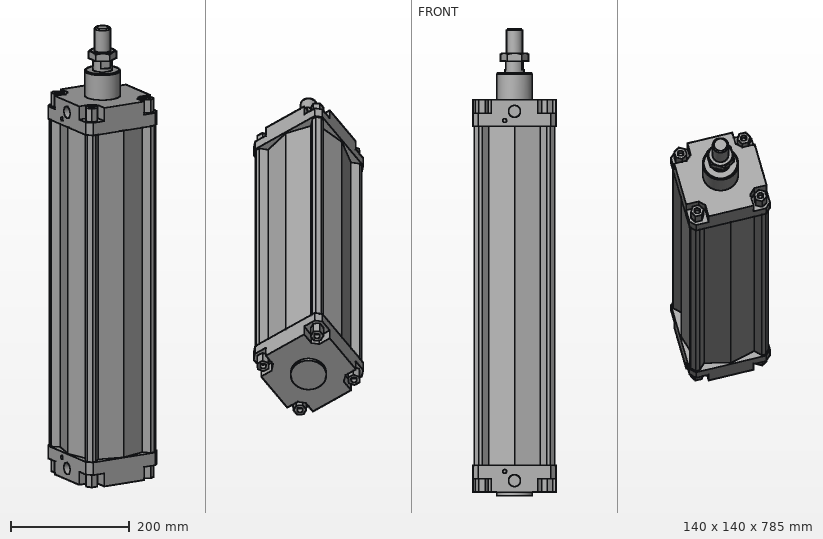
import cadquery as cq
import math

HEAD_SIDE = 140.0
HEAD_HEIGHT = 45.0
HEAD_CORNER_CHAMFER = 9.0
HEAD_SPAN = 660.0

POCKET_SIDE = 31.0
POCKET_DEPTH = 23.0
POCKET_CHAMFER = 9.5
TIE_ROD_PITCH = 110.0
TIE_NUT_FLATS = 19.0
TIE_NUT_SOCKET_DIAMETER = 10.0
TIE_NUT_SOCKET_DEPTH = 10.0
SOCKET_CONE_ANGLE = 118.0

BARREL_HALF_WIDTH = 67.5
BARREL_CORNER_CHAMFER = 7.0
FACE_RIDGE_HALF_WIDTH = 68.0
GROOVE_OUTER_OFFSET = 54.3
GROOVE_INNER_OFFSET = 43.5
GROOVE_DEPTH = 10.8

PORT_DIAMETER = 20.0
PORT_DEPTH = 15.0
PORT_FROM_FACE = 19.5
SCREW_HOLE_DIAMETER = 6.5
SCREW_HOLE_DEPTH = 8.0
SCREW_HOLE_FROM_FACE = 35.0
SCREW_HOLE_X = -16.5

BOSS_DIAMETER = 60.0
FRONT_BOSS_HEIGHT = 45.0
FRONT_BOSS_CHAMFER = 2.0
REAR_BOSS_HEIGHT = 6.0

ROD_DIAMETER = 32.0
ROD_SHOULDER_HEIGHT = 65.0
WRENCH_FLATS = 27.0
WRENCH_FLAT_HEIGHT = 14.5
WRENCH_FLAT_TURN = -10.0
THREAD_DIAMETER = 27.0
THREAD_LENGTH = 54.0
THREAD_CHAMFER = 2.5

NUT_FLATS = 41.0
NUT_HEIGHT = 13.5
NUT_FACE_DIAMETER = 40.0
NUT_CHAMFER_ANGLE = 30.0

SHOULDER_Z = HEAD_SPAN + ROD_SHOULDER_HEIGHT
CORNER_SIGNS = [(1, 1), (-1, 1), (-1, -1), (1, -1)]


def hexagon_diameter(flats):
    """Diameter across the corners of a hexagon."""
    return flats / math.cos(math.radians(30))


def make_barrel():
    """Solid square body with chamfered corners and a shallow ridged face between two lips per side."""
    lip = BARREL_HALF_WIDTH
    groove = BARREL_HALF_WIDTH - GROOVE_DEPTH
    corner = BARREL_HALF_WIDTH - BARREL_CORNER_CHAMFER
    side = [
        (-corner, -lip),
        (-GROOVE_OUTER_OFFSET, -lip),
        (-GROOVE_INNER_OFFSET, -groove),
        (0, -FACE_RIDGE_HALF_WIDTH),
        (GROOVE_INNER_OFFSET, -groove),
        (GROOVE_OUTER_OFFSET, -lip),
        (corner, -lip),
    ]
    outline = []
    for cosine, sine in [(1, 0), (0, 1), (-1, 0), (0, -1)]:
        outline += [(x * cosine - y * sine, x * sine + y * cosine) for x, y in side]
    return (
        cq.Workplane("XY")
        .workplane(offset=HEAD_HEIGHT)
        .polyline(outline)
        .close()
        .extrude(HEAD_SPAN - 2 * HEAD_HEIGHT)
    )


def make_pocket(x_sign, y_sign):
    """Cutter for the pocket in one corner, with its innermost corner chamfered."""
    outer = HEAD_SIDE / 2
    inner = outer - POCKET_SIDE
    points = [
        (outer, outer),
        (outer, inner),
        (inner + POCKET_CHAMFER, inner),
        (inner, inner + POCKET_CHAMFER),
        (inner, outer),
    ]
    return (
        cq.Workplane("XY")
        .workplane(offset=HEAD_HEIGHT - POCKET_DEPTH)
        .polyline([(x * x_sign, y * y_sign) for x, y in points])
        .close()
        .extrude(POCKET_DEPTH)
    )


def make_tie_nut(x_sign, y_sign):
    """Hexagonal tie-rod nut with a cone-bottomed socket, turned a quarter turn from corner to corner."""
    turn = 0 if x_sign == y_sign else 90
    socket_radius = TIE_NUT_SOCKET_DIAMETER / 2
    cone_top = POCKET_DEPTH - TIE_NUT_SOCKET_DEPTH
    cone_height = socket_radius / math.tan(math.radians(SOCKET_CONE_ANGLE / 2))
    socket = (
        cq.Workplane("XZ")
        .moveTo(0, cone_top - cone_height)
        .lineTo(socket_radius, cone_top)
        .lineTo(socket_radius, POCKET_DEPTH)
        .lineTo(0, POCKET_DEPTH)
        .close()
        .revolve(360, (0, 0, 0), (0, 1, 0))
    )
    hexagon = cq.Workplane("XY").polygon(6, hexagon_diameter(TIE_NUT_FLATS)).extrude(POCKET_DEPTH)
    nut = hexagon.cut(socket)
    nut_position = (
        x_sign * TIE_ROD_PITCH / 2,
        y_sign * TIE_ROD_PITCH / 2,
        HEAD_HEIGHT - POCKET_DEPTH,
    )
    return nut.rotate((0, 0, 0), (0, 0, 1), turn).translate(nut_position)


def make_side_hole(x, distance_from_face, diameter, depth):
    """Cutter for a round blind hole in the -Y side of a head."""
    return (
        cq.Workplane("XZ", origin=(x, -HEAD_SIDE / 2, HEAD_HEIGHT - distance_from_face))
        .circle(diameter / 2)
        .extrude(-depth)
    )


def make_head():
    """End head with its outer face up and its inner face at Z = 0."""
    head = (
        cq.Workplane("XY")
        .rect(HEAD_SIDE, HEAD_SIDE)
        .extrude(HEAD_HEIGHT)
        .edges("|Z")
        .chamfer(HEAD_CORNER_CHAMFER)
    )
    for signs in CORNER_SIGNS:
        head = head.cut(make_pocket(*signs)).union(make_tie_nut(*signs))
    head = head.cut(make_side_hole(0, PORT_FROM_FACE, PORT_DIAMETER, PORT_DEPTH))
    return head.cut(
        make_side_hole(SCREW_HOLE_X, SCREW_HOLE_FROM_FACE, SCREW_HOLE_DIAMETER, SCREW_HOLE_DEPTH)
    )


def make_housing():
    """Barrel, both heads and both bosses, bored through the front head for the rod."""
    head = make_head()
    front_head = head.translate((0, 0, HEAD_SPAN - HEAD_HEIGHT))
    rear_head = head.mirror("XY").translate((0, 0, HEAD_HEIGHT))
    front_boss = (
        cq.Workplane("XY")
        .workplane(offset=HEAD_SPAN)
        .circle(BOSS_DIAMETER / 2)
        .extrude(FRONT_BOSS_HEIGHT)
        .faces(">Z")
        .edges()
        .chamfer(FRONT_BOSS_CHAMFER)
    )
    rear_boss = cq.Workplane("XY").circle(BOSS_DIAMETER / 2).extrude(-REAR_BOSS_HEIGHT)
    rod_bore = (
        cq.Workplane("XY")
        .workplane(offset=HEAD_SPAN - HEAD_HEIGHT)
        .circle(ROD_DIAMETER / 2)
        .extrude(HEAD_HEIGHT + FRONT_BOSS_HEIGHT)
    )
    body = make_barrel().union(front_head).union(rear_head).union(front_boss).union(rear_boss)
    return body.cut(rod_bore)


def make_rod():
    """Piston rod with two opposite wrench flats below the shoulder and a threaded end."""
    shank = (
        cq.Workplane("XY")
        .workplane(offset=HEAD_SPAN - HEAD_HEIGHT)
        .circle(ROD_DIAMETER / 2)
        .extrude(HEAD_HEIGHT + ROD_SHOULDER_HEIGHT)
    )
    flat_depth = (ROD_DIAMETER - WRENCH_FLATS) / 2
    for side_angle in (0, 180):
        flat_cutter = (
            cq.Workplane("XY")
            .box(flat_depth, ROD_DIAMETER, WRENCH_FLAT_HEIGHT)
            .translate(((WRENCH_FLATS + flat_depth) / 2, 0, SHOULDER_Z - WRENCH_FLAT_HEIGHT / 2))
            .rotate((0, 0, 0), (0, 0, 1), side_angle + WRENCH_FLAT_TURN)
        )
        shank = shank.cut(flat_cutter)
    thread = (
        cq.Workplane("XY")
        .workplane(offset=SHOULDER_Z)
        .circle(THREAD_DIAMETER / 2)
        .extrude(THREAD_LENGTH)
        .faces(">Z")
        .edges()
        .chamfer(THREAD_CHAMFER)
    )
    return shank.union(thread)


def make_rod_nut():
    """Hexagonal lock nut seated on the rod shoulder, corners pointing along X, top corners coned off."""
    corner_radius = hexagon_diameter(NUT_FLATS) / 2
    face_radius = NUT_FACE_DIAMETER / 2
    cone_drop = (corner_radius - face_radius) * math.tan(math.radians(NUT_CHAMFER_ANGLE))
    coned_blank = (
        cq.Workplane("XZ")
        .moveTo(0, 0)
        .lineTo(corner_radius, 0)
        .lineTo(corner_radius, NUT_HEIGHT - cone_drop)
        .lineTo(face_radius, NUT_HEIGHT)
        .lineTo(0, NUT_HEIGHT)
        .close()
        .revolve(360, (0, 0, 0), (0, 1, 0))
    )
    hexagon = cq.Workplane("XY").polygon(6, 2 * corner_radius).extrude(NUT_HEIGHT)
    bore = cq.Workplane("XY").circle(THREAD_DIAMETER / 2).extrude(NUT_HEIGHT)
    return hexagon.intersect(coned_blank).cut(bore).translate((0, 0, SHOULDER_Z))


housing = make_housing()
rod = make_rod()
rod_nut = make_rod_nut()
result = cq.Compound.makeCompound([housing.val(), rod.val(), rod_nut.val()])